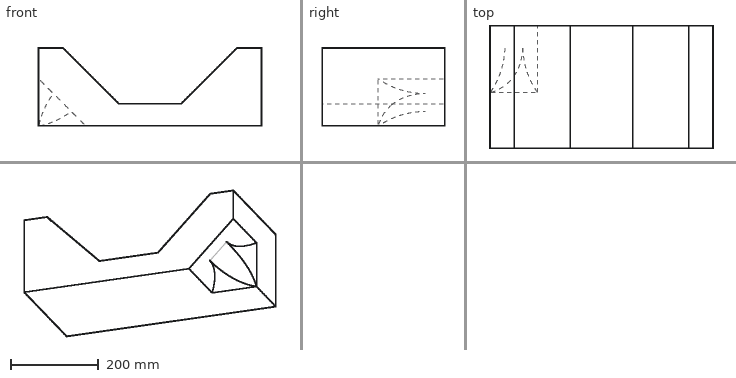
import cadquery as cq
import math

length = 508.0
width = 279.5
height = 178.0
land_width = 56.0
floor_height = 51.0
slope_run = height - floor_height

notch_depth = 76.0
notch_leg = notch_depth * math.sqrt(2)
notch_start = 127.0

gusset_length = 106.5
gusset_tip = notch_start + gusset_length
side_inset = 33.5


def make_block():
    trough_end = length - land_width
    return (
        cq.Workplane("XZ")
        .moveTo(0, 0)
        .lineTo(length, 0)
        .lineTo(length, height)
        .lineTo(trough_end, height)
        .lineTo(trough_end - slope_run, floor_height)
        .lineTo(land_width + slope_run, floor_height)
        .lineTo(land_width, height)
        .lineTo(0, height)
        .close()
        .extrude(-width)
    )


def make_notch(end):
    """Triangular prism from the start of the notch to the given Y."""
    return (
        cq.Workplane("XZ", origin=(0, notch_start, 0))
        .polyline([(0, 0), (notch_leg, 0), (0, notch_leg)])
        .close()
        .extrude(notch_start - end)
    )


def arc_point(rise):
    """Middle of an arc that rises over the gusset length and ends parallel to Y."""
    radius = (gusset_length**2 + rise**2) / (2 * rise)
    half_length = gusset_length / 2
    drop = radius - math.sqrt(radius**2 - half_length**2)
    return notch_start + half_length, rise - drop


def side_profile(plane):
    """Gusset outline on a plane, with its curved side leaving the block face."""
    middle_y, middle_inset = arc_point(side_inset)
    return (
        plane
        .moveTo(notch_start, 0)
        .threePointArc((middle_y, middle_inset), (gusset_tip, side_inset))
        .lineTo(gusset_tip, notch_leg)
        .lineTo(notch_start, notch_leg)
        .close()
        .extrude(notch_leg)
    )


def make_gusset():
    outer_side = side_profile(cq.Workplane(cq.Plane((0, 0, notch_leg), (0, 1, 0), (0, 0, -1))))
    lower_side = side_profile(cq.Workplane(cq.Plane((0, 0, 0), (0, 1, 0), (1, 0, 0))))

    middle_y, middle_depth = arc_point(notch_depth)
    underside_plane = cq.Plane((0, 0, 0), (0, 1, 0), (1, 0, -1))
    underside = (
        cq.Workplane(underside_plane)
        .moveTo(notch_start, 0)
        .threePointArc((middle_y, middle_depth), (gusset_tip, notch_depth))
        .lineTo(notch_start, notch_depth)
        .close()
        .extrude(notch_leg, both=True)
    )
    return make_notch(gusset_tip).intersect(outer_side).intersect(lower_side).intersect(underside)


notch = make_notch(width).cut(make_gusset())
result = make_block().cut(notch)